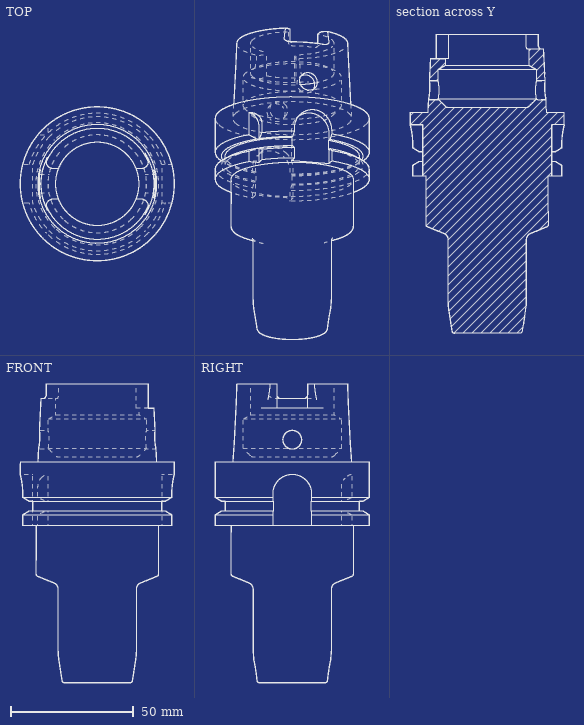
import cadquery as cq
import math

total_height = 121.9
flange_top = 90.1
upper_rim_bottom = 75.6
groove_top = 74.0
groove_bottom = 70.1
lower_rim_top = 68.5
flange_bottom = 64.1
body_bottom = 43.6
neck_top = 40.0
nose_top = 11.3

flange_radius = 62.9 / 2
groove_radius = 54.9 / 2
rim_edge_radius = 28.9
body_radius = 50.0 / 2
neck_radius = 32.0 / 2
nose_radius = 14.3
taper_base_radius = 24.3
taper_top_radius = 22.7

body_edge_fillet = 1.0
neck_fillet = 2.4
nose_blend = 23.8
nose_edge_fillet = 1.0

bore_radius = 34.0 / 2
cavity_radius = 40.1 / 2
mouth_bottom = 109.2
undercut_angle = 60.0
cavity_bottom = 95.6
bore_floor_radius = 16.6
bore_floor = cavity_bottom - (cavity_radius - bore_floor_radius)
bore_floor_fillet = 1.7

cross_hole_diameter = 7.5
cross_hole_height = 99.1

drive_slot_half_width = 6.2
drive_slot_round = 2.9
round_center_x = 17.9
tangent_run = 4.9
left_slot_depth = 6.0
right_slot_depth = 9.9
left_slot_floor_fillet = 1.5

side_slot_radius = 7.9
side_slot_top = 85.0
side_slot_floor = 26.3

notch_corner = 20.0
notch_radius = 5.6
notch_top = 85.2

clearance = 6.1
cut_reach = flange_radius + clearance


def fillet_rim(body, height, radius):
    """Round the circular edge that lies at the given height."""
    half_thickness = 0.01
    rim = cq.selectors.BoxSelector(
        (-cut_reach, -cut_reach, height - half_thickness),
        (cut_reach, cut_reach, height + half_thickness),
    )
    return body.edges("%CIRCLE").edges(rim).fillet(radius)


def make_turned_body():
    profile = [
        (0, 0),
        (nose_radius, 0),
        (neck_radius, nose_top),
        (neck_radius, neck_top),
        (body_radius, body_bottom),
        (body_radius, flange_bottom),
        (flange_radius, flange_bottom),
        (flange_radius, lower_rim_top),
        (rim_edge_radius, groove_bottom),
        (groove_radius, groove_bottom),
        (groove_radius, groove_top),
        (rim_edge_radius, groove_top),
        (flange_radius, upper_rim_bottom),
        (flange_radius, flange_top),
        (taper_base_radius, flange_top),
        (taper_top_radius, total_height),
        (0, total_height),
    ]
    body = cq.Workplane("XZ").polyline(profile).close().revolve(360, (0, 0), (0, 1))
    body = fillet_rim(body, body_bottom, body_edge_fillet)
    body = fillet_rim(body, neck_top, neck_fillet)
    body = fillet_rim(body, nose_top, nose_blend)
    return fillet_rim(body, 0, nose_edge_fillet)


def make_bore():
    undercut_height = (cavity_radius - bore_radius) / math.tan(math.radians(undercut_angle))
    undercut_bottom = mouth_bottom - undercut_height
    profile = [
        (0, bore_floor),
        (bore_floor_radius, bore_floor),
        (cavity_radius, cavity_bottom),
        (cavity_radius, undercut_bottom),
        (bore_radius, mouth_bottom),
        (bore_radius, total_height),
        (0, total_height),
    ]
    bore = cq.Workplane("XZ").polyline(profile).close().revolve(360, (0, 0), (0, 1))
    return fillet_rim(bore, bore_floor, bore_floor_fillet)


def make_cross_hole():
    return (
        cq.Workplane("YZ", origin=(-cut_reach, 0, 0))
        .center(0, cross_hole_height)
        .circle(cross_hole_diameter / 2)
        .extrude(2 * cut_reach)
    )


def make_drive_slot(depth):
    """Slot toward +X whose mouth is rounded into the outside of the taper."""
    center_y = drive_slot_half_width + drive_slot_round
    end_angle = math.atan2(center_y, round_center_x)
    middle_angle = (end_angle - math.pi / 2) / 2

    def round_point(angle):
        return (
            round_center_x + drive_slot_round * math.cos(angle),
            center_y + drive_slot_round * math.sin(angle),
        )

    round_end = round_point(end_angle)
    tangent_end = (
        round_end[0] - tangent_run * math.sin(end_angle),
        round_end[1] + tangent_run * math.cos(end_angle),
    )
    half_slot = (
        cq.Workplane("XY", origin=(0, 0, total_height - depth))
        .lineTo(0, drive_slot_half_width)
        .lineTo(round_center_x, drive_slot_half_width)
        .threePointArc(round_point(middle_angle), round_end)
        .lineTo(*tangent_end)
        .lineTo(cut_reach, tangent_end[1])
        .lineTo(cut_reach, 0)
        .close()
        .extrude(depth + clearance)
    )
    return half_slot.union(half_slot.mirror("XZ")).clean()


def make_left_drive_slot():
    slot = make_drive_slot(left_slot_depth).rotate((0, 0, 0), (0, 0, 1), 180)
    side_walls = cq.selectors.BoxSelector(
        (-taper_top_radius, -cut_reach, 0),
        (-1.2, cut_reach, total_height),
    )
    return slot.faces("<Z").edges(side_walls).fillet(left_slot_floor_fillet)


def make_round_top_slot(floor_distance, center_y, radius, top):
    """Round-topped slot in the -X side, open at the bottom of the flange."""
    center_z = top - radius
    return (
        cq.Workplane("YZ", origin=(-cut_reach, 0, 0))
        .moveTo(center_y - radius, flange_bottom)
        .lineTo(center_y - radius, center_z)
        .threePointArc((center_y, top), (center_y + radius, center_z))
        .lineTo(center_y + radius, flange_bottom)
        .close()
        .extrude(cut_reach - floor_distance)
    )


side_slot = make_round_top_slot(side_slot_floor, 0, side_slot_radius, side_slot_top)
corner_notch = make_round_top_slot(
    notch_corner, notch_corner + notch_radius, notch_radius, notch_top
)

result = (
    make_turned_body()
    .cut(make_bore())
    .cut(make_cross_hole())
    .cut(make_drive_slot(right_slot_depth))
    .cut(make_left_drive_slot())
    .cut(side_slot)
    .cut(side_slot.mirror("YZ"))
    .cut(corner_notch)
)